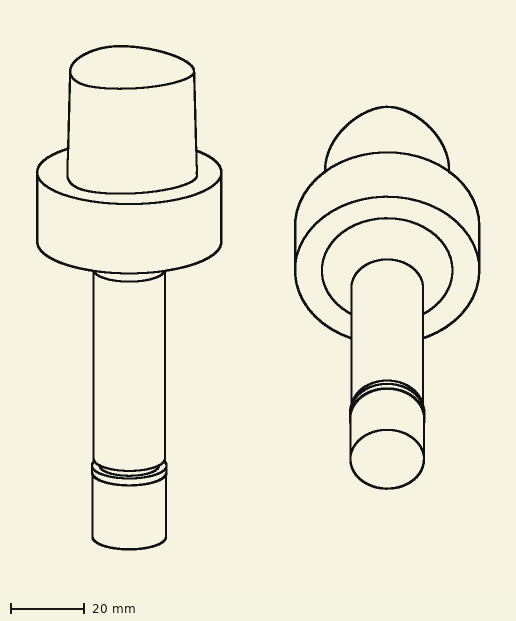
import cadquery as cq
import math

overall_height = 135.0
tip_top = 18.5
collar_top = 20.5
groove_top = 22.5
neck_bottom = 77.1
flange_bottom = 85.0
flange_top = 105.0

tip_diameter = 20.0
collar_diameter = 20.2
groove_diameter = 16.0
shaft_diameter = 19.5
flange_diameter = 50.0

neck_top_diameter = shaft_diameter + 2 * (flange_bottom - neck_bottom)

shank_base_width = 35.1
diameter_taper = 1 / 20
shank_height = overall_height - flange_top
shank_top_width = shank_base_width - diameter_taper * shank_height
lobe_offset = 1.1
curve_points = 72


def cylinder(diameter, bottom, top):
    return cq.Workplane("XY").workplane(offset=bottom).circle(diameter / 2).extrude(top - bottom)


def lobed_point(width, angle):
    """Return a point on the three-lobed curve of the given width, with one lobe toward -Y."""
    x = width / 2 * math.sin(angle) + lobe_offset * (2 * math.sin(2 * angle) + math.sin(4 * angle))
    y = width / 2 * math.cos(angle) - lobe_offset * (2 * math.cos(2 * angle) - math.cos(4 * angle))
    return x, y


def lobed_outline(width, level):
    """Return the closed smooth outline of the shank at the given height."""
    step = 2 * math.pi / curve_points
    points = [cq.Vector(*lobed_point(width, -step * i), level) for i in range(curve_points)]
    return cq.Wire.assembleEdges([cq.Edge.makeSpline(points, periodic=True)])


def make_neck():
    return (
        cq.Workplane("XY")
        .workplane(offset=neck_bottom)
        .circle(shaft_diameter / 2)
        .workplane(offset=flange_bottom - neck_bottom)
        .circle(neck_top_diameter / 2)
        .loft(combine=True, ruled=True)
    )


def make_shank():
    base = lobed_outline(shank_base_width, flange_top)
    top = lobed_outline(shank_top_width, overall_height)
    return cq.Workplane(cq.Solid.makeLoft([base, top], True))


tip = cylinder(tip_diameter, 0, tip_top)
collar = cylinder(collar_diameter, tip_top, collar_top)
groove_core = cylinder(groove_diameter, collar_top, groove_top)
shaft = cylinder(shaft_diameter, groove_top, neck_bottom)
flange = cylinder(flange_diameter, flange_bottom, flange_top)

result = tip
for section in (collar, groove_core, shaft, make_neck(), flange, make_shank()):
    result = result.union(section)